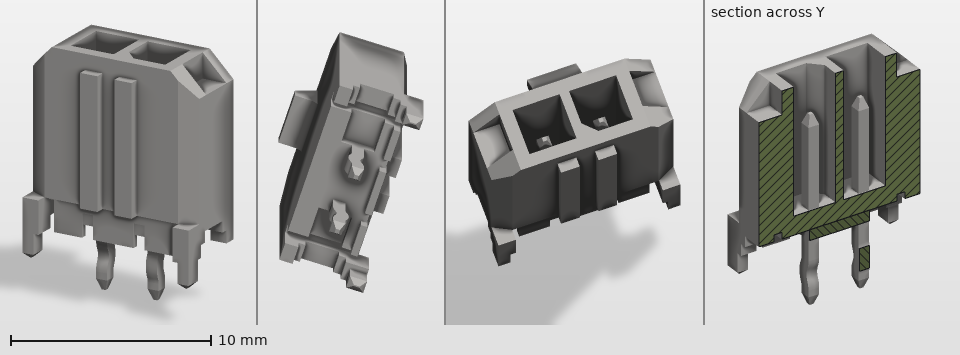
import cadquery as cq
import math


half_width = 4.83
back_y = 1.95
front_y = -1.91
top_z = 13.08
base_z = 3.88
front_corner_x = 3.87
front_corner_y = -1.43
shoulder_drop = 1.39
side_pocket_back_y = 1.25
side_pocket_front_y = -0.75

pitch = 3.0
cavity_size = 2.5
cavity_floor_z = 5.62
key_chamfer = 0.67

rib_inner_x = 0.5
rib_width = 1.0
rib_front_y = -2.42
rib_top_z = 12.23

latch_half_width = 1.31
latch_reach = 1.2
latch_top_z = 12.53
latch_bottom_z = 10.58
latch_fillet = 0.39

skirt_top_z = 5.02
skirt_bottom_z = 3.19
skirt_front_y = -1.7
skirt_back_y = -1.35
base_front_y = -1.66
skirt_half_width = 3.45
leg_inner_x = 3.9
leg_front_y = -2.46
leg_back_y = -1.25
foot_width = 0.64
foot_back_y = -1.55
foot_bottom_z = 1.79
foot_chamfer = 0.29
relief_top_z = 4.89
rear_leg_front_y = 1.25

contact_size = 0.64
contact_tip_size = 0.22
contact_tip_length = 0.6
contact_top_z = 10.99
bar_half_depth = 0.88
bar_top_z = 4.5
kink_centre_z = 1.83
kink_half_length = 0.85
kink_rise = 0.18
entry_radius = 1.5 * contact_size

contact_xs = (-pitch / 2, pitch / 2)
contact_half = contact_size / 2


def box_between(x0, x1, y0, y1, z0, z1):
    """Box given by its limits along each axis."""
    return cq.Workplane("XY").box(x1 - x0, y1 - y0, z1 - z0, centered=False).translate((x0, y0, z0))


def mirrored_pair(body):
    """The body together with its mirror image across the YZ plane."""
    return body.union(body.mirror("YZ"))


def make_block():
    """Main block with bevelled front corners, sloping shoulders and a pocket in each shoulder."""
    plan = [
        (-half_width, back_y),
        (half_width, back_y),
        (half_width, front_corner_y),
        (front_corner_x, front_y),
        (-front_corner_x, front_y),
        (-half_width, front_corner_y),
    ]
    block = cq.Workplane("XY").workplane(offset=base_z).polyline(plan).close().extrude(top_z - base_z)

    shoulder_z = top_z - shoulder_drop
    shoulder_x = half_width - shoulder_drop
    corner = [(half_width, shoulder_z), (half_width, top_z), (shoulder_x, top_z)]
    shoulder = cq.Workplane("XZ").polyline(corner).close().extrude(half_width, both=True)
    pocket = box_between(
        shoulder_x, half_width, side_pocket_front_y, side_pocket_back_y, shoulder_z, top_z
    )
    return block.cut(mirrored_pair(shoulder.union(pocket)))


def make_cavity(x, keyed):
    """Mating cavity; the keyed one has its inner front corner cut off."""
    half = cavity_size / 2
    cavity = box_between(x - half, x + half, -half, half, cavity_floor_z, top_z)
    if keyed:
        cavity = cavity.edges("|Z and <X and <Y").chamfer(key_chamfer)
    return cavity


def make_latch():
    """Ramped latch with a fillet where its underside meets the back wall."""
    tip_y = back_y + latch_reach
    profile = (
        cq.Workplane("YZ")
        .moveTo(back_y, latch_top_z)
        .lineTo(tip_y, latch_top_z - latch_reach)
        .lineTo(tip_y, latch_bottom_z)
        .lineTo(back_y + latch_fillet, latch_bottom_z)
        .radiusArc((back_y, latch_bottom_z - latch_fillet), -latch_fillet)
        .close()
    )
    return profile.extrude(latch_half_width, both=True)


def make_rib():
    """Upright rib on the front wall, right of centre."""
    return box_between(
        rib_inner_x, rib_inner_x + rib_width, rib_front_y, front_y, skirt_top_z, rib_top_z
    )


def make_skirt():
    """Thin wall hanging at the front, slotted in front of each contact."""
    skirt = box_between(
        -skirt_half_width, skirt_half_width, skirt_front_y, skirt_back_y, skirt_bottom_z, skirt_top_z
    )
    for x in contact_xs:
        slot = box_between(
            x - contact_half, x + contact_half, skirt_front_y, skirt_back_y, skirt_bottom_z, bar_top_z
        )
        skirt = skirt.cut(slot)
    return skirt


def make_front_leg():
    """Front right leg with a narrower pointed foot."""
    leg = box_between(leg_inner_x, half_width, leg_front_y, leg_back_y, skirt_bottom_z, skirt_top_z)
    foot = box_between(
        half_width - foot_width, half_width, leg_front_y, foot_back_y, foot_bottom_z, skirt_bottom_z
    )
    return leg.union(foot.faces("<Z").chamfer(foot_chamfer))


def make_rear_leg():
    """Short rear right leg."""
    return box_between(leg_inner_x, half_width, rear_leg_front_y, back_y, skirt_bottom_z, base_z)


def make_relief():
    """Channel from front to back between the right legs and the middle of the base."""
    return box_between(skirt_half_width, leg_inner_x, leg_front_y, back_y, base_z, relief_top_z)


def make_base_recess():
    """Recess that sets the front of the base back from the front wall, between the legs."""
    return box_between(-leg_inner_x, leg_inner_x, front_y, base_front_y, base_z, skirt_top_z)


def make_bar_groove():
    """Groove along the base that takes the bar of the contacts."""
    return box_between(-half_width, half_width, -bar_half_depth, bar_half_depth, base_z, bar_top_z)


def make_contact_hole(x):
    """Square hole through the cavity floor for one contact."""
    return box_between(
        x - contact_half, x + contact_half, -contact_half, contact_half, bar_top_z, cavity_floor_z
    )


def make_housing():
    """Housing: the block with its openings, then everything that stands out from it."""
    body = make_block().cut(mirrored_pair(make_relief())).cut(make_base_recess()).cut(make_bar_groove())
    for x in contact_xs:
        body = body.cut(make_cavity(x, keyed=x > 0)).cut(make_contact_hole(x))
    body = body.union(make_latch()).union(make_skirt())
    for right_hand_part in (make_rib(), make_front_leg(), make_rear_leg()):
        body = body.union(mirrored_pair(right_hand_part))
    return body


def make_tip(x, root_z, end_z):
    """Tapered square end of a contact."""
    return (
        cq.Workplane("XY", origin=(x, 0, root_z))
        .rect(contact_size, contact_size)
        .workplane(offset=end_z - root_z)
        .rect(contact_tip_size, contact_tip_size)
        .loft(ruled=True)
    )


def trace_kinked_side(path, side, going_up):
    """Continue the path along one side of a kink towards +Y: two entry arcs around a crest arc.

    The side is offset from the middle line of the contact by half its thickness, towards +Y
    for side = 1 and towards -Y for side = -1.
    """
    crest_radius = (kink_half_length**2 + kink_rise**2) / (2 * kink_rise) - entry_radius
    bend_angle = math.asin(kink_half_length / (entry_radius + crest_radius))
    offset = side * contact_half
    entry = entry_radius - offset
    crest = crest_radius + offset
    crest_centre_y = kink_rise - crest_radius

    def entry_point(angle):
        return (entry_radius - entry * math.cos(angle), kink_half_length - entry * math.sin(angle))

    def crest_point(angle):
        return (crest_centre_y + crest * math.cos(angle), crest * math.sin(angle))

    upper = [entry_point(0), entry_point(bend_angle / 2), entry_point(bend_angle)]
    lower = [(y, -z) for y, z in reversed(upper)]
    points = upper + [crest_point(0)] + lower
    if going_up:
        points.reverse()
    start, entry_mid, crest_start, crest_mid, crest_end, exit_mid, end = [
        (y, kink_centre_z + z) for y, z in points
    ]
    return (
        path.lineTo(*start)
        .threePointArc(entry_mid, crest_start)
        .threePointArc(crest_mid, crest_end)
        .threePointArc(exit_mid, end)
    )


def make_contact(x, kink_direction):
    """One contact: tapered ends, a straight upper blade and a kinked tail."""
    blade_top_z = contact_top_z - contact_tip_length
    path = cq.Workplane("YZ").moveTo(contact_half, base_z)
    path = trace_kinked_side(path, side=1, going_up=False)
    path = path.lineTo(contact_half, contact_tip_length).lineTo(-contact_half, contact_tip_length)
    path = trace_kinked_side(path, side=-1, going_up=True)
    tail = path.lineTo(-contact_half, base_z).close().extrude(contact_half, both=True)
    if kink_direction < 0:
        tail = tail.mirror("XZ")
    blade = box_between(
        x - contact_half, x + contact_half, -contact_half, contact_half, base_z, blade_top_z
    )
    return (
        tail.translate((x, 0, 0))
        .union(blade)
        .union(make_tip(x, blade_top_z, contact_top_z))
        .union(make_tip(x, contact_tip_length, 0))
    )


def make_contact_pair():
    """Both contacts, kinked in opposite directions and joined by a bar set into the base."""
    bar_half_width = pitch / 2 + contact_half
    pair = box_between(
        -bar_half_width, bar_half_width, -bar_half_depth, bar_half_depth, base_z, bar_top_z
    )
    for x, kink_direction in zip(contact_xs, (1, -1)):
        pair = pair.union(make_contact(x, kink_direction))
    return pair


housing = make_housing()
contact_pair = make_contact_pair()

result = cq.Compound.makeCompound([housing.solids().val(), contact_pair.solids().val()])